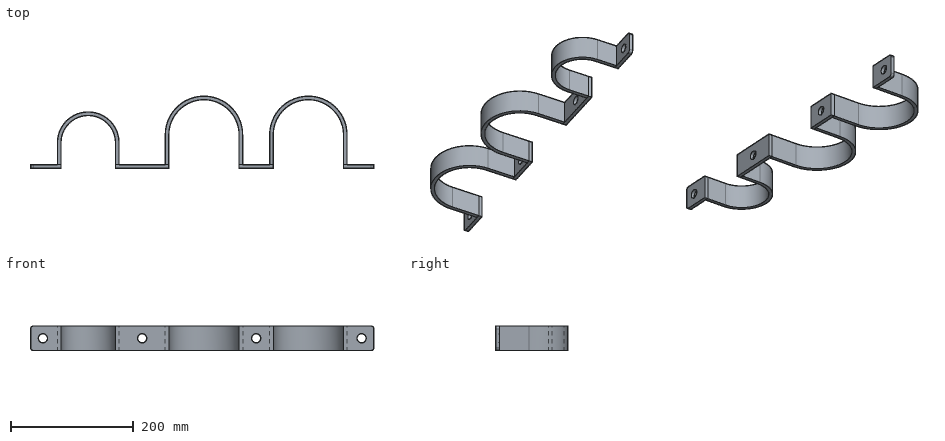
import cadquery as cq

total_length = 559.0
strip_width = 40.0
thickness = 6.0

small_radius = 44.0
large_radius = 57.0
small_arc_height = 42.0
large_arc_height = 55.0

end_plate_length = 50.0
corner_radius = 5.0
hole_diameter = 14.5
end_hole_distance = 20.0

large_saddle_spacing = 170.0
small_center = end_plate_length + small_radius
right_center = total_length - end_plate_length - large_radius
middle_center = right_center - large_saddle_spacing

saddles = [
    (small_center, small_radius, small_arc_height),
    (middle_center, large_radius, large_arc_height),
    (right_center, large_radius, large_arc_height),
]


def make_saddle(center_x, inner_radius, arc_height):
    """Round arch on two straight legs that stand on the backs of the plates."""
    outer_radius = inner_radius + thickness
    return (
        cq.Workplane("XY")
        .moveTo(center_x - outer_radius, thickness)
        .lineTo(center_x - outer_radius, arc_height)
        .threePointArc((center_x, arc_height + outer_radius), (center_x + outer_radius, arc_height))
        .lineTo(center_x + outer_radius, thickness)
        .lineTo(center_x + inner_radius, thickness)
        .lineTo(center_x + inner_radius, arc_height)
        .threePointArc((center_x, arc_height + inner_radius), (center_x - inner_radius, arc_height))
        .lineTo(center_x - inner_radius, thickness)
        .close()
        .extrude(strip_width)
    )


def make_plate(start_x, end_x, hole_x):
    """Flat plate with one bolt hole through its thickness."""
    plate = cq.Workplane("XY").box(end_x - start_x, thickness, strip_width, centered=False)
    plate = plate.translate((start_x, 0, 0))
    hole = (
        cq.Workplane("XZ")
        .center(hole_x, strip_width / 2)
        .circle(hole_diameter / 2)
        .extrude(-thickness)
    )
    return plate.cut(hole)


def make_middle_plate(left_saddle, right_saddle):
    """Plate joining two saddles, flush with the inner faces of their legs."""
    left_center, left_radius, _ = left_saddle
    right_center_x, right_radius, _ = right_saddle
    start_x = left_center + left_radius
    end_x = right_center_x - right_radius
    return make_plate(start_x, end_x, (start_x + end_x) / 2)


saddle_bands = [make_saddle(*saddle) for saddle in saddles]

left_end_plate = make_plate(0, end_plate_length, end_hole_distance)
left_end_plate = left_end_plate.edges("|Y and <X").fillet(corner_radius)

right_end_plate = make_plate(
    total_length - end_plate_length, total_length, total_length - end_hole_distance
)
right_end_plate = right_end_plate.edges("|Y and >X").fillet(corner_radius)

middle_plates = [make_middle_plate(left, right) for left, right in zip(saddles, saddles[1:])]

result = cq.Compound.makeCompound([
    *[band.val() for band in saddle_bands],
    left_end_plate.val(),
    *[plate.val() for plate in middle_plates],
    right_end_plate.val(),
])